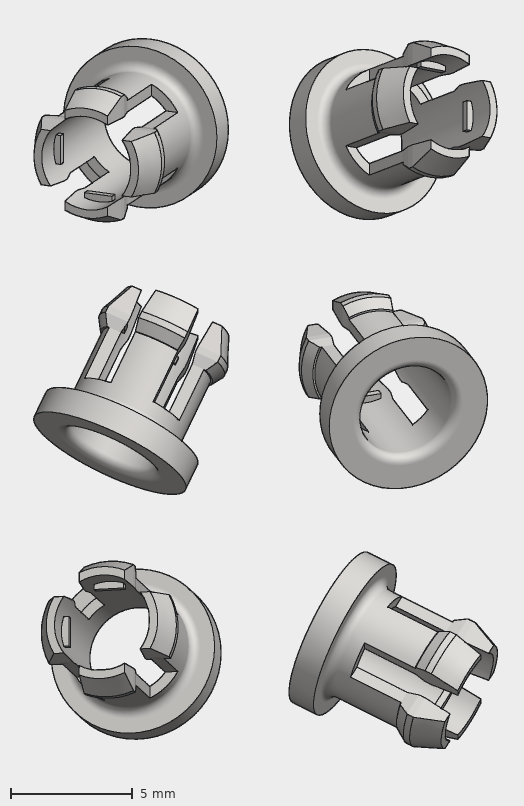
import cadquery as cq

FLANGE_DIAMETER = 6.9
SLEEVE_DIAMETER = 4.9
BORE_DIAMETER = 4.0
FLANGE_THICKNESS = 1.16
NECK_FILLET = 0.39
BORE_FILLET = 0.39

SLOT_START = 2.16
CLAW_START = 4.55
CREST_START = 5.05
CREST_END = 5.35
TOTAL_LENGTH = 6.55

CLAW_ROOT_RADIUS = 2.53
CREST_RADIUS = 2.85
TIP_RADIUS = 2.35

UPRIGHT_HALF_WIDTH = 0.96
UPRIGHT_CREST_HALF_WIDTH = 1.04
SIDE_HALF_WIDTH = 1.195
SIDE_CREST_HALF_WIDTH = 1.305

BAR_WIDTH = 1.24
BAR_THICKNESS = 0.3
BAR_INNER_OFFSET = 1.69
BAR_START = CREST_START
BAR_COUNT = 4

SLEEVE_RADIUS = SLEEVE_DIAMETER / 2
BORE_RADIUS = BORE_DIAMETER / 2
FLANGE_RADIUS = FLANGE_DIAMETER / 2


def make_turned_body():
    """Revolve the wall section of flange, sleeve and snap profile around Y."""
    section = (
        cq.Workplane("XY")
        .moveTo(BORE_RADIUS + BORE_FILLET, 0)
        .lineTo(FLANGE_RADIUS, 0)
        .lineTo(FLANGE_RADIUS, -FLANGE_THICKNESS)
        .lineTo(SLEEVE_RADIUS + NECK_FILLET, -FLANGE_THICKNESS)
        .radiusArc((SLEEVE_RADIUS, -FLANGE_THICKNESS - NECK_FILLET), -NECK_FILLET)
        .lineTo(SLEEVE_RADIUS, -CLAW_START)
        .lineTo(CLAW_ROOT_RADIUS, -CLAW_START)
        .lineTo(CREST_RADIUS, -CREST_START)
        .lineTo(CREST_RADIUS, -CREST_END)
        .lineTo(TIP_RADIUS, -TOTAL_LENGTH)
        .lineTo(BORE_RADIUS, -TOTAL_LENGTH)
        .lineTo(BORE_RADIUS, -BORE_FILLET)
        .radiusArc((BORE_RADIUS + BORE_FILLET, 0), BORE_FILLET)
        .close()
    )
    return section.revolve(360, (0, 0), (0, 1))


def make_finger_band(plane, half_width, crest_half_width):
    """Full-depth band whose flared outline bounds two opposite fingers."""
    right_edge = [
        (half_width, -SLOT_START),
        (half_width, -CLAW_START),
        (crest_half_width, -CREST_START),
        (crest_half_width, -CREST_END),
        (half_width, -TOTAL_LENGTH),
    ]
    left_edge = [(-across, along) for across, along in reversed(right_edge)]
    return (
        cq.Workplane(plane)
        .polyline(right_edge + left_edge)
        .close()
        .extrude(FLANGE_RADIUS, both=True)
    )


def make_collar():
    """Cut the sleeve into four fingers by removing everything outside the finger bands."""
    upright_band = make_finger_band("XY", UPRIGHT_HALF_WIDTH, UPRIGHT_CREST_HALF_WIDTH)
    side_band = make_finger_band("ZY", SIDE_HALF_WIDTH, SIDE_CREST_HALF_WIDTH)
    slots = (
        cq.Workplane("XZ", origin=(0, -SLOT_START, 0))
        .circle(FLANGE_RADIUS)
        .extrude(TOTAL_LENGTH - SLOT_START)
        .cut(upright_band)
        .cut(side_band)
    )
    return make_turned_body().cut(slots)


def make_bar(angle):
    """Bar with a flat inner face and an outer face that rests on the bore."""
    bore_plug = (
        cq.Workplane("XZ", origin=(0, -BAR_START, 0))
        .circle(BORE_RADIUS)
        .extrude(BAR_THICKNESS)
    )
    block_depth = BORE_RADIUS - BAR_INNER_OFFSET
    block = (
        cq.Workplane("XZ", origin=(0, -BAR_START, 0))
        .center(BAR_INNER_OFFSET + block_depth / 2, 0)
        .rect(block_depth, BAR_WIDTH)
        .extrude(BAR_THICKNESS)
    )
    return block.intersect(bore_plug).rotate((0, 0, 0), (0, 1, 0), angle)


collar = make_collar()
bars = [make_bar(index * 360 / BAR_COUNT) for index in range(BAR_COUNT)]

result = cq.Compound.makeCompound([collar.val(), *[bar.val() for bar in bars]])